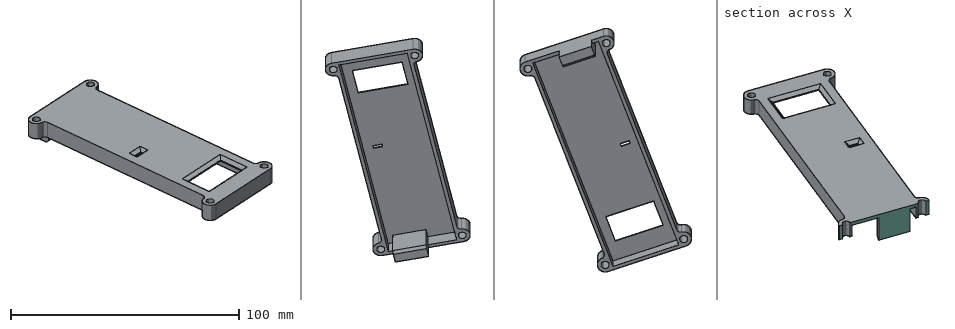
import cadquery as cq
import math

length = 107.0
width = 43.4
plate_height = 8.0
body_half_width = 16.9

lug_radius = 7.0 / 2
screw_diameter = 3.4
lug_blend_radius = 1.8
lug_x = length / 2 - lug_radius
lug_y = width / 2 - lug_radius

skin = 2.0
wall = 1.6

taper_depth = 1.5
taper_width = 1.6
display_size = (12.3, 22.3)
display_center = (37.1, 0.0)
slot_size = (1.3, 4.1)
slot_center = (0.7, -8.8)

tab_thickness = 5.6
tab_width = 15.0
tab_drop = 6.5
tab_center_y = -5.0
tab_chamfer = 1.2


def make_body():
    """Extrude the plate outline: four round lugs blended into the long sides."""
    blend_y = body_half_width + lug_blend_radius
    reach = lug_radius + lug_blend_radius
    blend_x = lug_x - math.sqrt(reach**2 - (blend_y - lug_y) ** 2)
    touch_x = lug_x + (blend_x - lug_x) * lug_radius / reach
    touch_y = lug_y + (blend_y - lug_y) * lug_radius / reach

    quarter = (
        cq.Workplane("XY")
        .lineTo(length / 2, 0)
        .lineTo(length / 2, lug_y)
        .radiusArc((touch_x, touch_y), -lug_radius)
        .radiusArc((blend_x, body_half_width), lug_blend_radius)
        .lineTo(0, body_half_width)
        .close()
        .extrude(plate_height)
    )
    half = quarter.union(quarter.mirror("YZ"))
    return half.union(half.mirror("XZ")).clean()


def make_cavity():
    """Pocket open at the bottom, leaving the side walls and the top skin."""
    return cq.Workplane("XY").box(
        length - 2 * wall,
        2 * (body_half_width - wall),
        plate_height - skin,
        centered=(True, True, False),
    )


def make_opening(size, center):
    """Rectangular through opening that widens towards the top face."""
    throat = cq.Workplane("XY").center(*center).rect(*size).extrude(plate_height)
    funnel = (
        cq.Workplane("XY", origin=(0, 0, plate_height - taper_depth))
        .center(*center)
        .rect(*size)
        .workplane(offset=taper_depth)
        .rect(size[0] + 2 * taper_width, size[1] + 2 * taper_width)
        .loft(ruled=True)
    )
    return throat.union(funnel)


def make_tab():
    """Block from the skin down past the plate, chamfered on its inner lower edge."""
    tab_height = tab_drop + plate_height
    return (
        cq.Workplane("XY", origin=(-length / 2, tab_center_y, -tab_drop))
        .box(tab_thickness, tab_width, tab_height, centered=(False, True, False))
        .edges(">X and <Z")
        .chamfer(tab_chamfer)
    )


lug_centers = [(sx * lug_x, sy * lug_y) for sx in (-1, 1) for sy in (-1, 1)]
screw_holes = (
    cq.Workplane("XY").pushPoints(lug_centers).circle(screw_diameter / 2).extrude(plate_height)
)

result = (
    make_body()
    .cut(make_cavity())
    .union(make_tab())
    .cut(screw_holes)
    .cut(make_opening(display_size, display_center))
    .cut(make_opening(slot_size, slot_center))
)